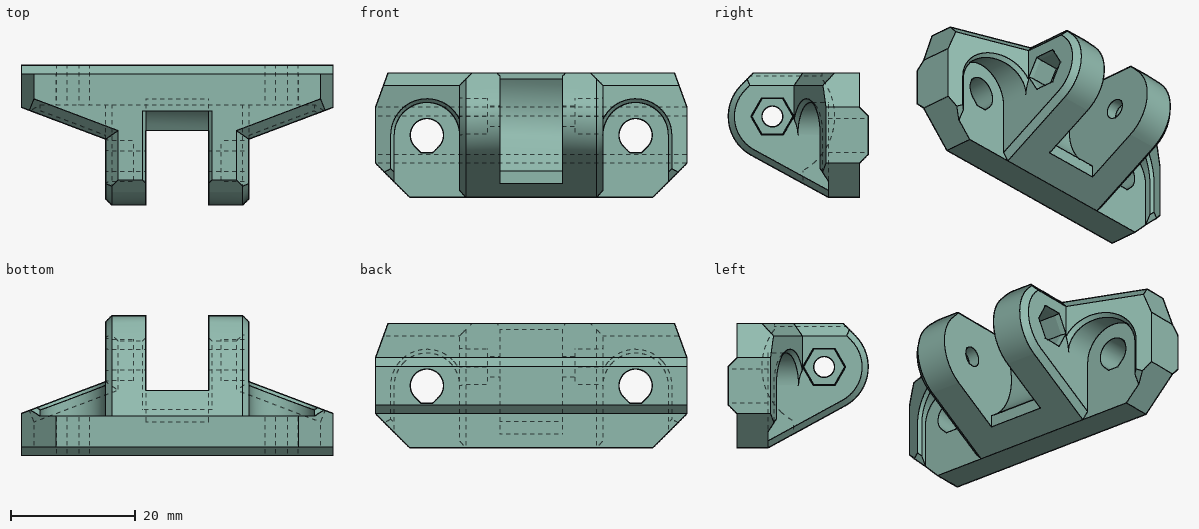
import cadquery as cq
import math

length = 50.0
height = 20.0
half_length = length / 2

wing_end_depth = 5.4
wing_root_depth = 10.5
top_chamfer = 2.0
end_slant_inset = 2.0
corner_height = 5.5
bottom_corner_inset = 5.5
underside_edge_height = 2.6
undercut_angle = 57.0

tongue_depth = 1.4

knuckle_half_width = 11.5
knuckle_chamfer = 1.0
hinge_y = -14.0
hinge_z = 13.0
hinge_radius = 7.1
knuckle_foot_y = -5.0
hinge_hole_diameter = 3.3

slot_width = 10.1
slot_clearance_radius = 10.0
slot_top_y = -6.0
slot_bottom_y = -9.1
slot_chamfer = 0.5

nut_flats = 5.7
nut_depth = 4.5
nut_lead_in = 0.15
nut_lead_in_depth = 0.8

screw_hole_diameter = 5.3
screw_hole_flat_drop = 2.8
recess_radius = 5.25
recess_floor_y = -5.0
recess_chamfer = 0.6
screw_x = knuckle_half_width + recess_radius
screw_z = height / 2

reach = 2 * length


def prism_along_y(points, y_rear):
    """Long prism from (X, Z) points, running forward from a rear Y position."""
    return cq.Workplane("XZ", origin=(0, y_rear, 0)).polyline(points).close().extrude(reach)


def bar_along_y(width, y_rear, z_low, z_high):
    """Long bar centred on X = 0, running forward from a rear Y position."""
    half = width / 2
    return prism_along_y([(-half, z_low), (half, z_low), (half, z_high), (-half, z_high)], y_rear)


def screw_recess():
    """Arched clearance in front of the right screw, open at the bottom."""
    return (
        cq.Workplane("XZ", origin=(screw_x, recess_floor_y, 0))
        .moveTo(-recess_radius, 0)
        .lineTo(-recess_radius, screw_z)
        .threePointArc((0, screw_z + recess_radius), (recess_radius, screw_z))
        .lineTo(recess_radius, 0)
        .close()
        .extrude(reach)
    )


def screw_hole():
    """Through hole for the right screw: round above, 45 degree sides to a flat below."""
    radius = screw_hole_diameter / 2
    diagonal = radius * math.sqrt(0.5)
    half_flat = radius * math.sqrt(2) - screw_hole_flat_drop
    return (
        cq.Workplane("XZ", origin=(screw_x, tongue_depth, screw_z))
        .moveTo(-half_flat, -screw_hole_flat_drop)
        .lineTo(-diagonal, -diagonal)
        .threePointArc((0, radius), (diagonal, -diagonal))
        .lineTo(half_flat, -screw_hole_flat_drop)
        .close()
        .extrude(reach)
    )


def make_wing():
    """Right half of the wings, from X = 0 to the outer end."""
    slope = (wing_root_depth - wing_end_depth) / (half_length - knuckle_half_width)
    center_depth = wing_end_depth + slope * half_length
    wing = (
        cq.Workplane("XY")
        .polyline([(0, 0), (half_length, 0), (half_length, -wing_end_depth), (0, -center_depth)])
        .close()
        .extrude(height)
    )
    front_top = (half_length / 2, -(wing_end_depth + center_depth) / 2, height)
    wing = wing.edges(cq.NearestToPointSelector(front_top)).chamfer(top_chamfer)

    wing = wing.cut(screw_recess()).edges("%ELLIPSE").chamfer(recess_chamfer)

    rise = reach * math.tan(math.radians(undercut_angle))
    undercut = (
        cq.Workplane("YZ")
        .moveTo(recess_floor_y, 0)
        .lineTo(recess_floor_y, underside_edge_height)
        .lineTo(recess_floor_y - reach, underside_edge_height + rise)
        .lineTo(recess_floor_y - reach, 0)
        .close()
        .extrude(half_length)
    )
    wing = wing.cut(undercut)

    inside_knuckle = bar_along_y(2 * knuckle_half_width, recess_floor_y, 0, height - 2 * top_chamfer)
    return wing.cut(inside_knuckle)


def finish_wing_end(wing):
    """Add the rear tongue and cut the two corners at the outer end of the right wing."""
    tongue = (
        cq.Workplane("YZ")
        .moveTo(0, corner_height)
        .lineTo(tongue_depth, corner_height + tongue_depth)
        .lineTo(tongue_depth, height - corner_height - tongue_depth)
        .lineTo(0, height - corner_height)
        .close()
        .extrude(half_length)
    )
    top_corner = prism_along_y(
        [
            (half_length, height - corner_height),
            (half_length - end_slant_inset, height),
            (half_length, height),
        ],
        tongue_depth,
    )
    bottom_corner = prism_along_y(
        [(half_length, 0), (half_length - bottom_corner_inset, 0), (half_length, corner_height)],
        tongue_depth,
    )
    return wing.cut(top_corner).cut(bottom_corner).union(tongue)


def make_knuckle():
    """Rounded hinge knuckle, before the slot is cut."""
    to_foot = (knuckle_foot_y - hinge_y, -hinge_z)
    foot_distance = math.hypot(*to_foot)
    tangent_angle = math.atan2(to_foot[1], to_foot[0]) - math.acos(hinge_radius / foot_distance)

    def on_circle(angle):
        return hinge_y + hinge_radius * math.cos(angle), hinge_z + hinge_radius * math.sin(angle)

    underside_start = on_circle(tangent_angle)
    slope_start = on_circle(math.radians(135))
    underside_slope = underside_start[1] / (knuckle_foot_y - underside_start[0])
    envelope = (
        cq.Workplane("YZ")
        .moveTo(slope_start[0] + height, slope_start[1] + height)
        .lineTo(*slope_start)
        .threePointArc(on_circle(math.pi), underside_start)
        .lineTo(height, -underside_slope * (height - knuckle_foot_y))
        .close()
        .extrude(knuckle_half_width, both=True)
        .faces("<X or >X")
        .chamfer(knuckle_chamfer)
    )
    bar = bar_along_y(2 * knuckle_half_width, 0, 0, height).edges("|Y and >Z").chamfer(top_chamfer)
    return bar.intersect(envelope)


def slot():
    """Gap between the ears: a straight slot cleared by a cylinder around the hinge."""
    lower_gap = bar_along_y(slot_width, slot_bottom_y, 0, hinge_z)
    upper_gap = bar_along_y(slot_width, slot_top_y, hinge_z, height)
    clearance = (
        cq.Workplane("YZ")
        .center(hinge_y, hinge_z)
        .circle(slot_clearance_radius)
        .extrude(slot_width / 2, both=True)
    )
    half = slot_width / 2
    flare = prism_along_y(
        [
            (-half - slot_chamfer, height),
            (half + slot_chamfer, height),
            (half, height - slot_chamfer),
            (-half, height - slot_chamfer),
        ],
        slot_top_y,
    )
    return lower_gap.union(upper_gap).union(clearance).union(flare)


def nut_pocket():
    """Hexagonal pocket with a widened mouth in the right ear."""
    nut_corners = nut_flats / math.cos(math.radians(30))
    mouth_corners = (nut_flats + 2 * nut_lead_in) / math.cos(math.radians(30))
    ear_face = cq.Workplane("YZ", origin=(knuckle_half_width, hinge_y, hinge_z))
    pocket = ear_face.polygon(6, nut_corners).extrude(-nut_depth)
    mouth = (
        ear_face.polygon(6, mouth_corners)
        .workplane(offset=-nut_lead_in_depth)
        .polygon(6, nut_corners)
        .loft(ruled=True)
    )
    return pocket.union(mouth)


right_wing = finish_wing_end(make_wing()).cut(screw_hole())
right_pocket = nut_pocket()
hinge_hole = (
    cq.Workplane("YZ", origin=(0, hinge_y, hinge_z))
    .circle(hinge_hole_diameter / 2)
    .extrude(knuckle_half_width, both=True)
)

result = (
    right_wing.union(right_wing.mirror("YZ"))
    .union(make_knuckle())
    .cut(slot())
    .cut(hinge_hole)
    .cut(right_pocket)
    .cut(right_pocket.mirror("YZ"))
    .clean()
)